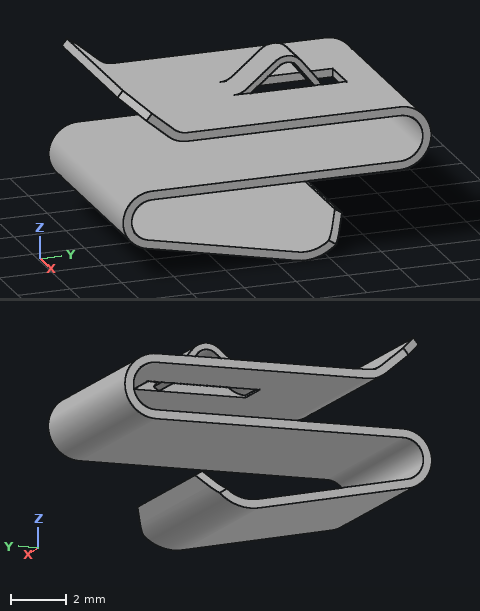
import cadquery as cq
import math

WIDTH = 8.0
THICKNESS = 0.33
CORNER_CUT = 1.0

PLATE_LENGTH = 8.2
LIP_ANGLE = 40
LIP_LENGTH = 2.1
LIP_BEND_RADIUS = 0.8

BACK_FOLD_RADIUS = 0.88
MIDDLE_LENGTH = 9.57
FRONT_FOLD_RADIUS = 0.77
ARM_ANGLE = 11.3
ARM_LENGTH = 5.91
TAIL_BEND_RADIUS = 1.4
TAIL_ANGLE = 57
TAIL_LENGTH = 0.6

TONGUE_WIDTH = 1.5
TONGUE_THICKNESS = 0.25
TONGUE_ROOT_Y = 2.98
WINDOW_LENGTH = 4.33
TONGUE_ROOT_RADIUS = 0.73
TONGUE_CREST_RADIUS = 0.48
TONGUE_RISE_ANGLE = 40
TONGUE_RISE_LENGTH = 1.44
TONGUE_FALL_ANGLE = 51
TONGUE_FALL_LENGTH = 1.51


def polar(point, distance, angle):
    """Point at a distance from another one, in the direction of an angle in degrees."""
    direction = math.radians(angle)
    return (point[0] + distance * math.cos(direction), point[1] + distance * math.sin(direction))


def straight(length):
    return {"length": length}


def bend(inner_radius, turn):
    """Bend through a turn in degrees, positive to the left of travel."""
    return {"radius": inner_radius, "turn": turn}


def bent_strip(start, heading, sections, thickness, width):
    """Strip whose left face follows the sections; returns it with its end point and heading."""
    strip = None
    left = start
    for section in sections:
        right = polar(left, thickness, heading - 90)
        outline = cq.Workplane("YZ").moveTo(*right).lineTo(*left)
        if "length" in section:
            left = polar(left, section["length"], heading)
            outline = outline.lineTo(*left).lineTo(*polar(left, thickness, heading - 90))
        else:
            turn = section["turn"]
            side = math.copysign(90, turn)
            left_radius = section["radius"] + (thickness if turn < 0 else 0)
            right_radius = section["radius"] + (thickness if turn > 0 else 0)
            center = polar(left, left_radius, heading + side)
            middle_angle = heading - side + turn / 2
            end_angle = heading - side + turn
            left = polar(center, left_radius, end_angle)
            outline = outline.threePointArc(polar(center, left_radius, middle_angle), left)
            outline = outline.lineTo(*polar(center, right_radius, end_angle))
            outline = outline.threePointArc(polar(center, right_radius, middle_angle), right)
            heading += turn
        piece = outline.close().extrude(width / 2, both=True)
        strip = piece if strip is None else strip.union(piece)
    return strip, left, heading


def corner_cutter(tip, inward_heading):
    """Two wedges that bevel the strip corners at an end."""
    inward = polar((0, 0), 1, inward_heading)
    plane = cq.Plane(
        origin=(0, tip[0], tip[1]),
        xDir=(1, 0, 0),
        normal=(0, -inward[1], inward[0]),
    )
    half = WIDTH / 2
    clearance = THICKNESS
    wedge = (
        cq.Workplane(plane)
        .polyline([
            (half - CORNER_CUT - clearance, -clearance),
            (half + clearance, -clearance),
            (half + clearance, CORNER_CUT + clearance),
        ])
        .close()
        .extrude(2 * THICKNESS, both=True)
    )
    return wedge.union(wedge.mirror("YZ"))


lip_bend_center = (0, LIP_BEND_RADIUS)
lip_bend_end = polar(lip_bend_center, LIP_BEND_RADIUS, -90 - LIP_ANGLE)
lip_tip = polar(lip_bend_end, LIP_LENGTH, 180 - LIP_ANGLE)
clip_sections = [
    straight(LIP_LENGTH),
    bend(LIP_BEND_RADIUS, LIP_ANGLE),
    straight(PLATE_LENGTH),
    bend(BACK_FOLD_RADIUS, -180),
    straight(MIDDLE_LENGTH),
    bend(FRONT_FOLD_RADIUS, 180 - ARM_ANGLE),
    straight(ARM_LENGTH),
    bend(TAIL_BEND_RADIUS, ARM_ANGLE + TAIL_ANGLE),
    straight(TAIL_LENGTH),
]
clip, tail_tip, tail_heading = bent_strip(lip_tip, -LIP_ANGLE, clip_sections, THICKNESS, WIDTH)
clip = clip.cut(corner_cutter(lip_tip, -LIP_ANGLE))
clip = clip.cut(corner_cutter(tail_tip, tail_heading + 180))

window = (
    cq.Workplane("XY")
    .center(0, TONGUE_ROOT_Y + WINDOW_LENGTH / 2)
    .rect(TONGUE_WIDTH, WINDOW_LENGTH)
    .extrude(-THICKNESS)
)

tongue_sections = [
    bend(TONGUE_ROOT_RADIUS, TONGUE_RISE_ANGLE),
    straight(TONGUE_RISE_LENGTH),
    bend(TONGUE_CREST_RADIUS, -TONGUE_RISE_ANGLE - TONGUE_FALL_ANGLE),
    straight(TONGUE_FALL_LENGTH),
]
tongue, _, _ = bent_strip((TONGUE_ROOT_Y, 0), 0, tongue_sections, TONGUE_THICKNESS, TONGUE_WIDTH)

result = clip.cut(window).union(tongue)